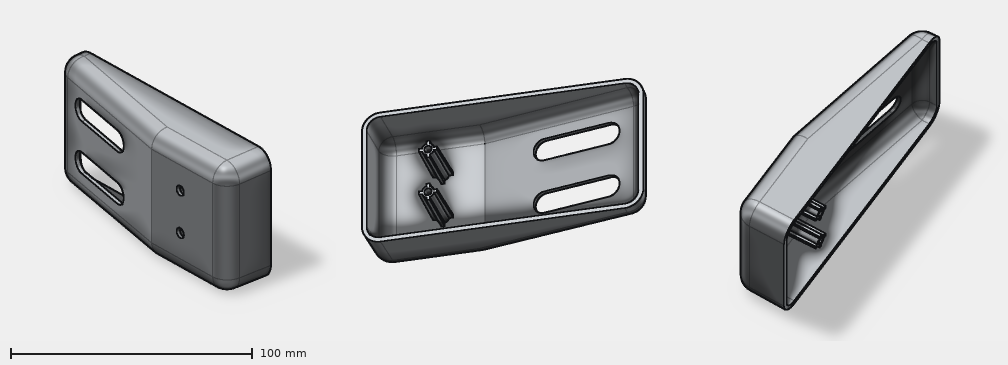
import cadquery as cq
import math

LENGTH = 120.9
HEIGHT = 60.9
DEPTH = 25.0
DRAFT = 1.0
CORNER_RADIUS = 8.0
WALL = 2.0

BEND_X = 74.5
LEFT_END_DEPTH = 10.0
SLOPE = math.degrees(math.atan((DEPTH - LEFT_END_DEPTH) / BEND_X))

SLOT_LENGTH = 39.9
SLOT_WIDTH = 10.0
SLOT_SPACING = 24.8
SLOT_CENTER_X = 32.4

BOSS_X = 92.5
BOSS_SPACING = 20.1
BOSS_DIAMETER = 5.3
BOSS_LENGTH = DEPTH - WALL / 2
SCREW_HOLE_DIAMETER = 4.6
SCREW_HOLE_DEPTH = 14.5
PILOT_HOLE_DIAMETER = 3.1

RIB_THICKNESS = 1.5
RIB_BACK_SPAN = 7.7
RIB_FRONT_SPAN = RIB_BACK_SPAN + 2 * BOSS_LENGTH * math.tan(math.radians(DRAFT))

BOSS_HEIGHTS = (-BOSS_SPACING / 2, BOSS_SPACING / 2)


def depth_at(x):
    """Depth of the sloping front face at a given X."""
    return LEFT_END_DEPTH + x * (DEPTH - LEFT_END_DEPTH) / BEND_X


def make_cover():
    """Drafted, rounded cover, hollowed from the back."""
    block = (
        cq.Workplane("XZ")
        .center(LENGTH / 2, 0)
        .rect(LENGTH, HEIGHT)
        .extrude(DEPTH, taper=DRAFT)
    )
    margin = DEPTH
    slope_cutter = (
        cq.Workplane("XY")
        .moveTo(BEND_X, -DEPTH)
        .lineTo(-margin, -depth_at(-margin))
        .lineTo(-margin, -DEPTH - margin)
        .lineTo(BEND_X, -DEPTH - margin)
        .close()
        .extrude(HEIGHT, both=True)
    )
    block = block.cut(slope_cutter)

    bend_edge = cq.selectors.NearestToPointSelector((BEND_X, -DEPTH, 0))
    back_rim = cq.StringSyntaxSelector(">Y")
    rounded_edges = cq.selectors.InverseSelector(cq.selectors.SumSelector(bend_edge, back_rim))
    block = block.edges(rounded_edges).fillet(CORNER_RADIUS)
    return block.faces(">Y").shell(-WALL)


def make_slots():
    """Two long slots cut square to the sloping wall."""
    slope_plane = cq.Plane(
        origin=(SLOT_CENTER_X, -depth_at(SLOT_CENTER_X), 0),
        xDir=(math.cos(math.radians(SLOPE)), -math.sin(math.radians(SLOPE)), 0),
        normal=(-math.sin(math.radians(SLOPE)), -math.cos(math.radians(SLOPE)), 0),
    )
    return (
        cq.Workplane(slope_plane)
        .pushPoints([(0, -SLOT_SPACING / 2), (0, SLOT_SPACING / 2)])
        .slot2D(SLOT_LENGTH, SLOT_WIDTH)
        .extrude(2 * WALL, both=True)
    )


def make_boss(z):
    """Round boss with four ribs that widen towards the front wall."""
    post = cq.Workplane("XZ").center(BOSS_X, z).circle(BOSS_DIAMETER / 2).extrude(BOSS_LENGTH)
    outline = [
        (-RIB_BACK_SPAN / 2, 0),
        (RIB_BACK_SPAN / 2, 0),
        (RIB_FRONT_SPAN / 2, -BOSS_LENGTH),
        (-RIB_FRONT_SPAN / 2, -BOSS_LENGTH),
    ]
    rib = cq.Workplane("XY").polyline(outline).close().extrude(RIB_THICKNESS / 2, both=True)
    cross = rib.union(rib.rotate((0, 0, 0), (0, 1, 0), 90))
    return post.union(cross.translate((BOSS_X, 0, z)))


def make_screw_hole(z):
    """Wide drafted hole from the front, continued by a narrower one to the back plane."""
    pilot = cq.Workplane("XZ").center(BOSS_X, z).circle(PILOT_HOLE_DIAMETER / 2).extrude(DEPTH)
    wide = (
        cq.Workplane("XZ", origin=(0, -DEPTH, 0))
        .center(BOSS_X, z)
        .circle(SCREW_HOLE_DIAMETER / 2)
        .extrude(-SCREW_HOLE_DEPTH, taper=DRAFT)
    )
    return pilot.union(wide)


result = make_cover().cut(make_slots())
for boss_z in BOSS_HEIGHTS:
    result = result.union(make_boss(boss_z))
for boss_z in BOSS_HEIGHTS:
    result = result.cut(make_screw_hole(boss_z))